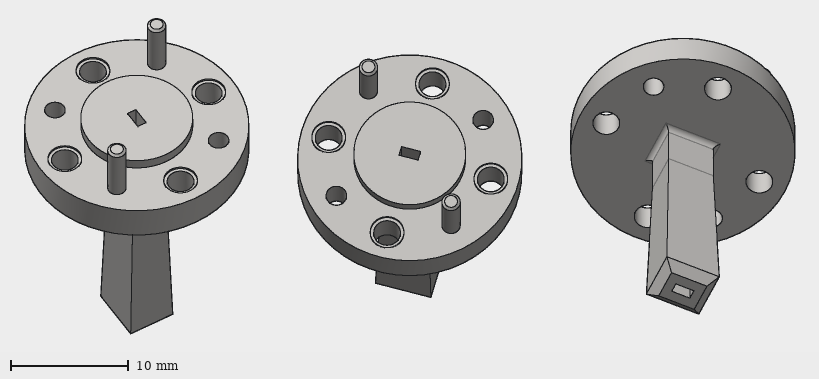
import cadquery as cq
import math

overall_height = 29.55
flange_diameter = 19.05
flange_thickness = 3.2
boss_diameter = 9.5
boss_height = 0.95

channel_x = 1.68
channel_y = 0.83
wall = 1.25
neck_x = channel_x + 2 * wall
neck_y = channel_y + 2 * wall
neck_length = 4.52
fillet_radius = 0.47
flared_x = 4.9
flared_y = 4.2
tip_bevel_height = 0.85
tip_bevel_inset = 0.8

bolt_circle_radius = 7.15
screw_hole_diameter = 2.27
counterbore_diameter = 2.87
counterbore_depth = 0.18
pin_hole_diameter = 1.75
pin_diameter = 1.57
pin_length = 5.05
pin_chamfer_height = 0.18
pin_chamfer_inset = 0.25

tail_length = overall_height - flange_thickness - pin_length
flare_length = tail_length - neck_length - tip_bevel_height


def on_bolt_circle(*angles):
    """Points on the bolt circle at the given angles in degrees."""
    return [
        (bolt_circle_radius * math.cos(math.radians(a)), bolt_circle_radius * math.sin(math.radians(a)))
        for a in angles
    ]


def tapered_block(top_z, top_size, bottom_size, length):
    """Rectangular frustum hanging down from top_z."""
    return (
        cq.Workplane("XY", origin=(0, 0, top_z))
        .rect(*top_size)
        .workplane(offset=-length)
        .rect(*bottom_size)
        .loft(ruled=True, combine=True)
    )


def flange():
    disc = cq.Workplane("XY").circle(flange_diameter / 2).extrude(flange_thickness)
    boss = (
        cq.Workplane("XY", origin=(0, 0, flange_thickness))
        .circle(boss_diameter / 2)
        .extrude(boss_height)
    )
    return disc.union(boss)


def with_neck(body):
    """Add the straight neck and fillet its root against the flange."""
    neck = cq.Workplane("XY").rect(neck_x, neck_y).extrude(-neck_length)
    root_box = cq.selectors.BoxSelector(
        (-neck_x, -neck_y, -fillet_radius / 2),
        (neck_x, neck_y, fillet_radius / 2),
    )
    root_edges = root_box - cq.selectors.TypeSelector("CIRCLE")
    return body.union(neck).edges(root_edges).fillet(fillet_radius)


def flared_tail():
    """Widening lower body closed by a bevelled tip."""
    flared_size = (flared_x, flared_y)
    tip_size = (flared_x - 2 * tip_bevel_inset, flared_y - 2 * tip_bevel_inset)
    flare = tapered_block(-neck_length, (neck_x, neck_y), flared_size, flare_length)
    tip = tapered_block(-neck_length - flare_length, flared_size, tip_size, tip_bevel_height)
    return flare.union(tip)


def cut_flange_holes(body):
    """Four shallow-counterbored screw holes and two plain alignment holes."""
    top = cq.Workplane("XY", origin=(0, 0, flange_thickness))
    screw_points = on_bolt_circle(0, 90, 180, 270)
    screw_holes = top.pushPoints(screw_points).circle(screw_hole_diameter / 2).extrude(-flange_thickness)
    counterbores = top.pushPoints(screw_points).circle(counterbore_diameter / 2).extrude(-counterbore_depth)
    pin_holes = (
        top.pushPoints(on_bolt_circle(45, 225))
        .circle(pin_hole_diameter / 2)
        .extrude(-flange_thickness)
    )
    return body.cut(screw_holes).cut(counterbores).cut(pin_holes)


def pins():
    """Two alignment pins with chamfered ends."""
    return (
        cq.Workplane("XY", origin=(0, 0, flange_thickness))
        .pushPoints(on_bolt_circle(135, 315))
        .circle(pin_diameter / 2)
        .extrude(pin_length)
        .faces(">Z")
        .chamfer(pin_chamfer_height, pin_chamfer_inset)
    )


def channel():
    """Rectangular waveguide running from the boss face through the tip."""
    return (
        cq.Workplane("XY", origin=(0, 0, -tail_length))
        .rect(channel_x, channel_y)
        .extrude(tail_length + flange_thickness + boss_height)
    )


body = with_neck(flange()).union(flared_tail())
result = cut_flange_holes(body).union(pins()).cut(channel())